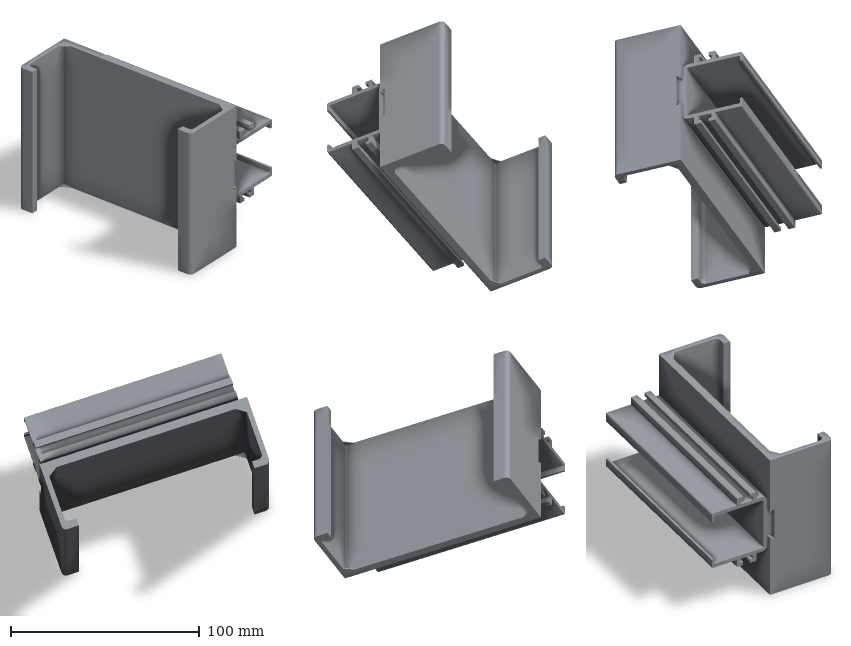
import cadquery as cq

COVER_WIDTH = 116.0
COVER_HEIGHT = 86.2
COVER_DEPTH = 38.6
COVER_WALL = 2.8
COVER_BACK = 4.4
LIP_THICKNESS = 4.1
LIP_LENGTH = 8.9
LIP_OUTER_RADIUS = 2.5
LIP_INNER_RADIUS = 2.3
BACK_CORNER_RADIUS = 0.9

GUSSET_LENGTH_X = 5.1
GUSSET_LENGTH_Y = 3.6
GUSSET_THICKNESS = 0.5

RAIL_LENGTH = COVER_WIDTH - 2 * COVER_WALL
RAIL_DEPTH = 34.1
RAIL_HEIGHT = 34.8
RAIL_CENTER_Z = 1.5
RAIL_WALL = 2.2
RAIL_BACK_RADIUS = 3.0
RAIL_LIP_THICKNESS = 1.3
RAIL_LIP_HEIGHT = 5.5
RAIL_EDGE_RADIUS = 0.9
RAIL_CAVITY_RADIUS = 0.5

TRACK_START_Y = 6.6
TRACK_WIDTH = 12.1
TRACK_HEIGHT = 4.6
TRACK_ARM = 2.2
TRACK_TOP = 2.0
TRACK_OPENING = 4.3
TRACK_EDGE_RADIUS = 0.41
TRACK_SLOT_RADIUS = 0.6

TONGUE_NECK_HEIGHT = 16.0
TONGUE_HEAD_HEIGHT = 18.5
TONGUE_NECK_DEPTH = 1.3
TONGUE_DEPTH = 2.8


def block(length_x, y_start, y_end, z_start, z_end):
    """Box centred on X = 0 that spans the given Y and Z ranges."""
    return cq.Workplane("XY").box(
        length_x, y_end - y_start, z_end - z_start, centered=(True, False, False)
    ).translate((0, y_start, z_start))


def make_tongue(length):
    """T-section bar that runs along X and reaches into the cover from Y = 0."""
    half_neck = TONGUE_NECK_HEIGHT / 2
    half_head = TONGUE_HEAD_HEIGHT / 2
    neck = block(length, -TONGUE_NECK_DEPTH, 0, -half_neck, half_neck)
    head = block(length, -TONGUE_DEPTH, -TONGUE_NECK_DEPTH, -half_head, half_head)
    return neck.union(head).translate((0, 0, RAIL_CENTER_Z))


def make_gusset(side, end):
    """Triangular web in one back corner; side is the X sign, end is the Z sign."""
    corner_x = side * (COVER_WIDTH / 2 - COVER_WALL)
    outer_x = side * COVER_WIDTH / 2
    web_end_x = corner_x - side * GUSSET_LENGTH_X
    wall_end_y = -COVER_BACK - GUSSET_LENGTH_Y
    outline = [
        (web_end_x, -COVER_BACK),
        (corner_x, wall_end_y),
        (outer_x, wall_end_y),
        (outer_x, 0),
        (web_end_x, 0),
    ]
    middle_z = end * (COVER_HEIGHT - GUSSET_THICKNESS) / 2
    return (
        cq.Workplane("XY")
        .polyline(outline)
        .close()
        .extrude(GUSSET_THICKNESS / 2, both=True)
        .translate((0, 0, middle_z))
    )


def make_cover():
    half_height = COVER_HEIGHT / 2
    inner_width = COVER_WIDTH - 2 * COVER_WALL
    mouth_width = COVER_WIDTH - 2 * LIP_LENGTH
    inner_front_y = -COVER_DEPTH + LIP_THICKNESS

    cover = block(COVER_WIDTH, -COVER_DEPTH, 0, -half_height, half_height)
    cover = cover.edges("|Z and <Y").fillet(LIP_OUTER_RADIUS)
    cavity = block(inner_width, inner_front_y, -COVER_BACK, -half_height, half_height)
    cavity = cavity.edges("|Z and <Y").fillet(LIP_INNER_RADIUS)
    cavity = cavity.edges("|Z and >Y").fillet(BACK_CORNER_RADIUS)
    mouth = block(mouth_width, -COVER_DEPTH, inner_front_y, -half_height, half_height)
    cover = cover.cut(cavity).cut(mouth)

    for side in (-1, 1):
        for end in (-1, 1):
            cover = cover.union(make_gusset(side, end))

    groove = make_tongue(COVER_WIDTH)
    return cover.cut(groove)


def make_track():
    """T-slot track standing on the top of the rail, with the rail centred on Z = 0."""
    base_z = RAIL_HEIGHT / 2
    top_z = base_z + TRACK_HEIGHT
    end_y = TRACK_START_Y + TRACK_WIDTH
    opening_start_y = TRACK_START_Y + (TRACK_WIDTH - TRACK_OPENING) / 2

    track = block(RAIL_LENGTH, TRACK_START_Y, end_y, base_z, top_z)
    track = track.edges("|X and >Z").fillet(TRACK_EDGE_RADIUS)
    slot = block(RAIL_LENGTH, TRACK_START_Y + TRACK_ARM, end_y - TRACK_ARM, base_z, top_z - TRACK_TOP)
    slot = slot.edges("|X").fillet(TRACK_SLOT_RADIUS)
    opening = block(RAIL_LENGTH, opening_start_y, opening_start_y + TRACK_OPENING, top_z - TRACK_TOP, top_z)
    return track.cut(slot).cut(opening)


def make_rail():
    half_height = RAIL_HEIGHT / 2
    half_cavity = half_height - RAIL_WALL
    half_mouth = half_height - RAIL_LIP_HEIGHT
    lip_y = RAIL_DEPTH - RAIL_LIP_THICKNESS

    rail = block(RAIL_LENGTH, 0, RAIL_DEPTH, -half_height, half_height)
    rail = rail.edges("|X and <Y").fillet(RAIL_BACK_RADIUS)
    rail = rail.edges("|X and >Y").fillet(RAIL_EDGE_RADIUS)
    cavity = block(RAIL_LENGTH, RAIL_WALL, lip_y, -half_cavity, half_cavity)
    cavity = cavity.edges("|X").fillet(RAIL_CAVITY_RADIUS)
    mouth = block(RAIL_LENGTH, lip_y, RAIL_DEPTH, -half_mouth, half_mouth)
    rail = rail.cut(cavity).cut(mouth)

    top_track = make_track()
    bottom_track = top_track.mirror("XY")
    rail = rail.union(top_track).union(bottom_track)
    return rail.translate((0, 0, RAIL_CENTER_Z)).union(make_tongue(RAIL_LENGTH))


cover = make_cover()
rail = make_rail()
result = cq.Compound.makeCompound([cover.val(), rail.val()])